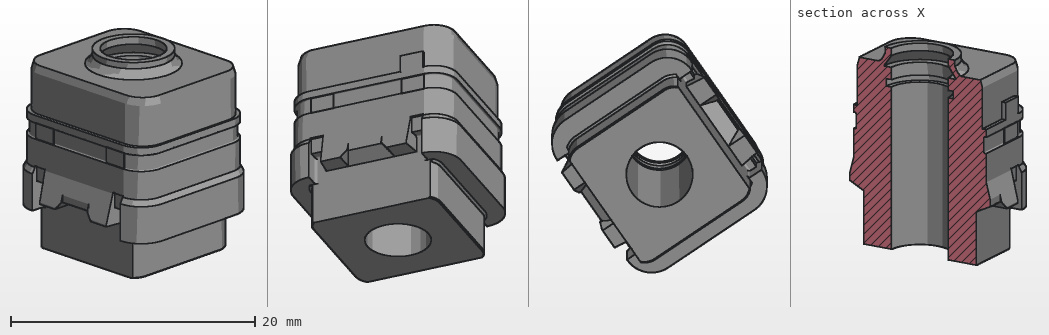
import cadquery as cq

SKIRT_BOTTOM = 3.6
SHOULDER_BOTTOM = 6.83
SHOULDER_TOP = 7.33
GROOVE_BOTTOM = 9.8
GROOVE_TOP = 11.2
FLANGE_TOP = 11.87
CAP_TOP = 16.05
NECK_FLARE_MIDDLE = 16.35
NECK_FLARE_TOP = 16.8
NECK_TOP = 17.34

INSERT_LENGTH = 11.4
INSERT_WIDTH = 10.84
INSERT_CORNER_RADIUS = 1.62
INSERT_CORNER_START = 4.3
INSERT_BOTTOM_CHAMFER = 0.1
INSERT_ROOT_CHAMFER = 0.2

SKIRT_LENGTH = 15.0
SKIRT_WIDTH = 13.36
SKIRT_CORNER_RADIUS = 2.4
SHOULDER_SETBACK = 0.29
BODY_LENGTH = SKIRT_LENGTH - 2 * SHOULDER_SETBACK
BODY_WIDTH = SKIRT_WIDTH - 2 * SHOULDER_SETBACK
BODY_CORNER_RADIUS = SKIRT_CORNER_RADIUS - SHOULDER_SETBACK
GROOVE_DEPTH = 0.22
GROOVE_ROOT_RADIUS = 0.08
CAP_LENGTH = 14.04
CAP_WIDTH = 12.06
CAP_CORNER_RADIUS = 2.1
CAP_CHAMFER_HEIGHT = 0.67
CAP_CHAMFER_SETBACK = 0.2

PAD_INNER_X = 3.04
PAD_OUTER_X = 5.04
PAD_RECESS = 0.11

OPENING_HALF_LENGTH = 5.04
OPENING_TOP = 7.43
OPENING_RECESS = 0.22
POCKET_TOP = 6.07
POCKET_FILLET = 0.22

TAB_ROOT_HALF_LENGTH = 4.03
TAB_TIP_HALF_LENGTH = 3.82
TAB_REACH = 14.15 / 2
TAB_BOTTOM = 4.6
TAB_LIP_HEIGHT = 0.15
NOTCH_TOP = 5.9
NOTCH_KNEE = 5.27
NOTCH_HALF_LENGTH = 1.5
NOTCH_MOUTH_HALF_LENGTH = 2.07
NOTCH_FLOOR_REACH = 6.77

NECK_RADIUS = 3.38
NECK_FLARE_MIDDLE_RADIUS = 3.64
NECK_FOOT_RADIUS = 3.98
BORE_RADIUS = 2.72
CONE_TOP = 16.7
CONE_BOTTOM = 15.7
CONE_RADIUS = 3.46
RING_BOTTOM = 14.0
RING_TOP = 14.6
RING_RADIUS = 3.2

KEY_LEFT = -5.0
KEY_RIGHT = -3.0
KEY_TOP = 13.35


def block(x_min, x_max, y_min, y_max, z_min, z_max):
    """Box given by its limits along each axis."""
    box = cq.Workplane("XY").box(x_max - x_min, y_max - y_min, z_max - z_min, centered=False)
    return box.translate((x_min, y_min, z_min))


def rounded_block(length, width, radius, z_min, z_max):
    """Centred box with rounded vertical edges."""
    box = block(-length / 2, length / 2, -width / 2, width / 2, z_min, z_max)
    return box.edges("|Z").fillet(radius)


def on_both_sides(shape):
    """The shape together with its mirror image across the XZ plane."""
    return shape.union(shape.mirror("XZ"))


def trim_to_insert_width(shape):
    """Cut the shape off flush with the two end walls of the insert."""
    half_width = INSERT_WIDTH / 2
    return shape.intersect(block(-SKIRT_LENGTH, SKIRT_LENGTH, -half_width, half_width, 0, NECK_TOP))


def make_insert():
    """Insert with a sloped transition to the underside of the skirt."""
    uncut_width = 2 * (INSERT_CORNER_START + INSERT_CORNER_RADIUS)
    insert = rounded_block(INSERT_LENGTH, uncut_width, INSERT_CORNER_RADIUS, 0, POCKET_TOP)
    insert = insert.faces("<Z").chamfer(INSERT_BOTTOM_CHAMFER)
    root = rounded_block(
        INSERT_LENGTH + 2 * INSERT_ROOT_CHAMFER,
        uncut_width + 2 * INSERT_ROOT_CHAMFER,
        INSERT_CORNER_RADIUS + INSERT_ROOT_CHAMFER,
        SKIRT_BOTTOM - INSERT_ROOT_CHAMFER,
        SKIRT_BOTTOM + INSERT_ROOT_CHAMFER,
    )
    root = root.faces("<Z").chamfer(INSERT_ROOT_CHAMFER)
    return trim_to_insert_width(insert.union(root))


def make_skirt():
    skirt = rounded_block(SKIRT_LENGTH, SKIRT_WIDTH, SKIRT_CORNER_RADIUS, SKIRT_BOTTOM, SHOULDER_TOP)
    return skirt.faces(">Z").chamfer(SHOULDER_TOP - SHOULDER_BOTTOM, SHOULDER_SETBACK)


def make_body():
    return rounded_block(BODY_LENGTH, BODY_WIDTH, BODY_CORNER_RADIUS, SKIRT_BOTTOM, FLANGE_TOP)


def make_groove_cutter():
    outer = block(-SKIRT_LENGTH, SKIRT_LENGTH, -SKIRT_WIDTH, SKIRT_WIDTH, GROOVE_BOTTOM, GROOVE_TOP)
    core = rounded_block(
        BODY_LENGTH - 2 * GROOVE_DEPTH,
        BODY_WIDTH - 2 * GROOVE_DEPTH,
        BODY_CORNER_RADIUS - GROOVE_DEPTH,
        GROOVE_BOTTOM,
        GROOVE_TOP,
    )
    inside = cq.selectors.BoxSelector(
        (-BODY_LENGTH / 2, -BODY_WIDTH / 2, 0), (BODY_LENGTH / 2, BODY_WIDTH / 2, NECK_TOP)
    )
    return outer.cut(core).edges(inside).edges("#Z").fillet(GROOVE_ROOT_RADIUS)


def make_groove_pads():
    face_y = BODY_WIDTH / 2 - PAD_RECESS
    root_y = BODY_WIDTH / 2 - 2 * GROOVE_DEPTH
    right = block(PAD_INNER_X, PAD_OUTER_X, -face_y, -root_y, GROOVE_BOTTOM, GROOVE_TOP)
    return on_both_sides(right.union(right.mirror("YZ")))


def make_cap():
    cap = rounded_block(CAP_LENGTH, CAP_WIDTH, CAP_CORNER_RADIUS, FLANGE_TOP, CAP_TOP)
    return cap.faces(">Z").chamfer(CAP_CHAMFER_HEIGHT, CAP_CHAMFER_SETBACK)


def make_latch_openings():
    """Shallow recess behind the skirt, with a deeper filleted pocket below it."""
    recess_y = BODY_WIDTH / 2 - OPENING_RECESS
    insert_y = INSERT_WIDTH / 2
    half_length = OPENING_HALF_LENGTH
    recess = block(-half_length, half_length, -SKIRT_WIDTH, -recess_y, SKIRT_BOTTOM, OPENING_TOP)
    pocket = block(-half_length, half_length, -SKIRT_WIDTH, -insert_y, SKIRT_BOTTOM, POCKET_TOP)
    root_edges = pocket.faces(">Y").edges("not <Z")
    pocket = root_edges.fillet(POCKET_FILLET)
    return on_both_sides(recess.union(pocket))


def make_tab_notch():
    outline = (
        cq.Workplane("XZ")
        .moveTo(-NOTCH_MOUTH_HALF_LENGTH, TAB_BOTTOM)
        .lineTo(-NOTCH_HALF_LENGTH, NOTCH_KNEE)
        .lineTo(-NOTCH_HALF_LENGTH, NOTCH_TOP)
        .lineTo(NOTCH_HALF_LENGTH, NOTCH_TOP)
        .lineTo(NOTCH_HALF_LENGTH, NOTCH_KNEE)
        .lineTo(NOTCH_MOUTH_HALF_LENGTH, TAB_BOTTOM)
        .close()
        .extrude(SKIRT_WIDTH)
    )
    depth_profile = (
        cq.Workplane("YZ")
        .moveTo(-INSERT_WIDTH / 2, TAB_BOTTOM)
        .lineTo(-NOTCH_FLOOR_REACH, NOTCH_KNEE)
        .lineTo(-NOTCH_FLOOR_REACH, NOTCH_TOP)
        .lineTo(-SKIRT_WIDTH, NOTCH_TOP)
        .lineTo(-SKIRT_WIDTH, TAB_BOTTOM)
        .close()
        .extrude(NOTCH_MOUTH_HALF_LENGTH, both=True)
    )
    return outline.intersect(depth_profile)


def make_tabs():
    """Sloped latch tabs, tapering in plan toward the tip."""
    root_y = -INSERT_WIDTH / 2
    side_profile = (
        cq.Workplane("YZ")
        .moveTo(root_y, TAB_BOTTOM)
        .lineTo(-TAB_REACH, TAB_BOTTOM)
        .lineTo(-TAB_REACH, TAB_BOTTOM + TAB_LIP_HEIGHT)
        .lineTo(-BODY_WIDTH / 2, SHOULDER_TOP)
        .lineTo(-BODY_WIDTH / 2, OPENING_TOP)
        .lineTo(root_y, OPENING_TOP)
        .close()
        .extrude(TAB_ROOT_HALF_LENGTH, both=True)
    )
    plan = (
        cq.Workplane("XY")
        .moveTo(-TAB_ROOT_HALF_LENGTH, root_y)
        .lineTo(-TAB_TIP_HALF_LENGTH, -TAB_REACH)
        .lineTo(TAB_TIP_HALF_LENGTH, -TAB_REACH)
        .lineTo(TAB_ROOT_HALF_LENGTH, root_y)
        .close()
        .extrude(OPENING_TOP)
    )
    tab = side_profile.intersect(plan).cut(make_tab_notch())
    return on_both_sides(tab)


def make_neck():
    """Neck with a conical flare that curves out into the top of the cap."""
    profile = (
        cq.Workplane("XZ")
        .moveTo(0, CONE_BOTTOM)
        .lineTo(0, NECK_TOP)
        .lineTo(NECK_RADIUS, NECK_TOP)
        .lineTo(NECK_RADIUS, NECK_FLARE_TOP)
        .lineTo(NECK_FLARE_MIDDLE_RADIUS, NECK_FLARE_MIDDLE)
        .tangentArcPoint((NECK_FOOT_RADIUS, CAP_TOP), relative=False)
        .lineTo(NECK_FOOT_RADIUS, CONE_BOTTOM)
        .close()
    )
    return profile.revolve(360, (0, 0, 0), (0, 1, 0))


def make_bore_cutter():
    """Through bore with a conical undercut in the neck and a ring groove below it."""
    profile = (
        cq.Workplane("XZ")
        .moveTo(0, 0)
        .lineTo(BORE_RADIUS, 0)
        .lineTo(BORE_RADIUS, RING_BOTTOM)
        .lineTo(RING_RADIUS, RING_BOTTOM)
        .lineTo(RING_RADIUS, RING_TOP)
        .lineTo(BORE_RADIUS, RING_TOP)
        .lineTo(BORE_RADIUS, CONE_BOTTOM)
        .lineTo(CONE_RADIUS, CONE_BOTTOM)
        .lineTo(BORE_RADIUS, CONE_TOP)
        .lineTo(BORE_RADIUS, NECK_TOP)
        .lineTo(0, NECK_TOP)
        .close()
    )
    return profile.revolve(360, (0, 0, 0), (0, 1, 0))


def make_key():
    return block(KEY_LEFT, KEY_RIGHT, 0, BODY_WIDTH / 2, FLANGE_TOP, KEY_TOP)


housing = make_skirt().union(make_body())
housing = housing.cut(make_groove_cutter()).union(make_groove_pads())
housing = housing.cut(make_latch_openings()).union(make_tabs())
housing = housing.union(make_insert())
housing = housing.union(make_cap()).union(make_key()).union(make_neck())
result = housing.cut(make_bore_cutter())